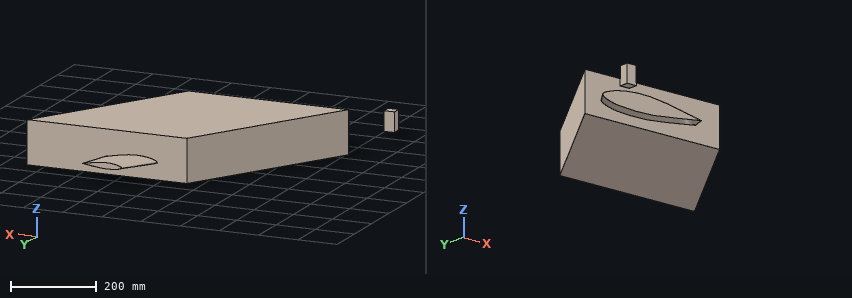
import cadquery as cq

BLOCK_WIDTH = 409.0
BLOCK_DEPTH = 384.5
BLOCK_SKEW = 243.0
HEIGHT_ABOVE_SEAM = 66.0
HEIGHT_BELOW_SEAM = 43.5

ROOT_Y = -35.0
ROOT_NOSE_X = 25.0
ROOT_CHORD = 299.0
TIP_Y = 464.0
TIP_NOSE_X = 375.0
TIP_CHORD = 99.0

NOSE = (0, 0)
TAIL = (1, 0)
UPPER_CURVE = [(0.083, 0.046), (0.2, 0.073), (0.38, 0.088), (0.58, 0.075), (0.79, 0.04)]
LOWER_CURVE = [(0.083, -0.042), (0.2, -0.06), (0.38, -0.067), (0.58, -0.056), (0.79, -0.028)]

BOX_WIDTH = 27.5
BOX_DEPTH = 25.5
BOX_HEIGHT = 50.5
BOX_LEFT_X = -39.0
BOX_FRONT_Y = -201.0
BOX_BOTTOM_Z = -30.0


def make_wing():
    """Straight loft between the root and tip airfoils."""
    def airfoil(y, nose_x, chord):
        def place(point):
            along, height = point
            return cq.Vector(nose_x + along * chord, y, height * chord)

        loop = [TAIL, *reversed(UPPER_CURVE), NOSE, *LOWER_CURVE, TAIL]
        return cq.Wire.assembleEdges([cq.Edge.makeSpline([place(point) for point in loop])])

    root = airfoil(ROOT_Y, ROOT_NOSE_X, ROOT_CHORD)
    tip = airfoil(TIP_Y, TIP_NOSE_X, TIP_CHORD)
    return cq.Workplane(cq.Solid.makeLoft([root, tip], True))


def make_slab(height):
    """Parallelogram slab from the seam plane up, or down for a negative height."""
    corners = [
        (0, 0),
        (BLOCK_WIDTH, 0),
        (BLOCK_WIDTH + BLOCK_SKEW, BLOCK_DEPTH),
        (BLOCK_SKEW, BLOCK_DEPTH),
    ]
    return cq.Workplane("XY").polyline(corners).close().extrude(height)


def make_block(wing):
    """Single block with a wing-shaped hole and a seam line around its sides."""
    upper = make_slab(HEIGHT_ABOVE_SEAM)
    lower = make_slab(-HEIGHT_BELOW_SEAM)
    return upper.union(lower, clean=False).cut(wing, clean=False)


def make_box():
    return (
        cq.Workplane("XY")
        .box(BOX_WIDTH, BOX_DEPTH, BOX_HEIGHT, centered=False)
        .translate((BOX_LEFT_X, BOX_FRONT_Y, BOX_BOTTOM_Z))
    )


wing = make_wing()
block = make_block(wing)
box = make_box()

result = cq.Compound.makeCompound([*block.solids().vals(), wing.val(), box.val()])